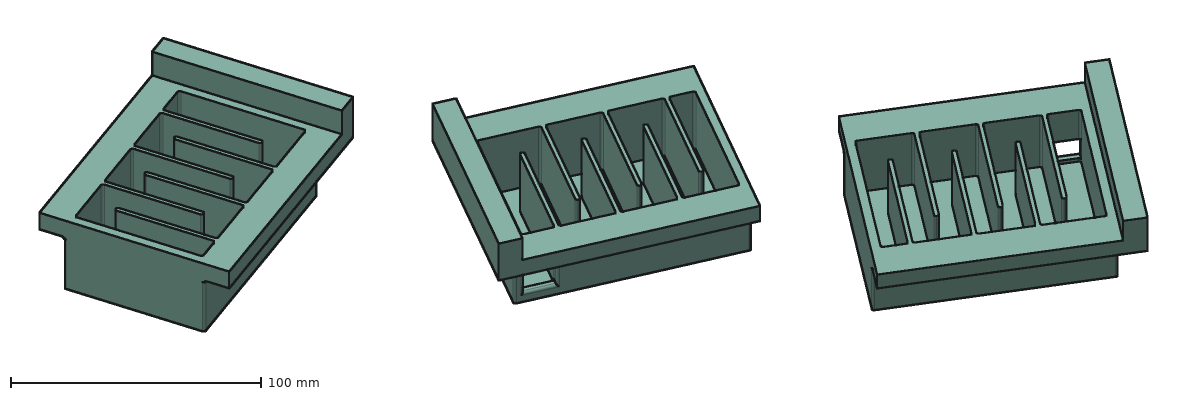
import cadquery as cq

length = 110.0
width = 85.0
height = 46.5

rail_depth = 10.0
rail_rise = 12.0
plate_thickness = 8.5

body_width = 63.0
body_length = length - rail_depth
edge_radius = 1.0
plate_top = height - rail_rise
plate_bottom = plate_top - plate_thickness

floor_thickness = 3.0
side_wall = 3.0
end_wall = 4.1
chamber_width = body_width - 2 * side_wall
chamber_length = body_length - 2 * end_wall
chamber_radius = 1.0

baffle_count = 6
baffle_thickness = 2.0
baffle_pitch = 13.0
baffle_length = 45.0
tip_radius = 0.9
inlet_bay = 14.0

window_length = 13.9
window_height = 11.7
window_sill = 5.1
window_round = 1.2
rim_margin = 0.1

front_y = -length / 2
body_rear_y = front_y + body_length
body_center_y = front_y + body_length / 2
chamber_rear_y = body_rear_y - end_wall


def make_block(size_x, size_y, size_z, center_y, bottom_z):
    """Box centred on X = 0 and resting on bottom_z."""
    block = cq.Workplane("XY").box(size_x, size_y, size_z, centered=(True, True, False))
    return block.translate((0, center_y, bottom_z))


def make_flange():
    """L-shaped plate and rail, extruded across the full width."""
    return (
        cq.Workplane("YZ", origin=(-width / 2, 0, 0))
        .moveTo(front_y, plate_bottom)
        .lineTo(-front_y, plate_bottom)
        .lineTo(-front_y, height)
        .lineTo(body_rear_y, height)
        .lineTo(body_rear_y, plate_top)
        .lineTo(front_y, plate_top)
        .close()
        .extrude(width)
    )


def make_body():
    """Trough block with rounded upright edges."""
    body = make_block(body_width, body_length, plate_top, body_center_y, 0)
    return body.edges("|Z").fillet(edge_radius)


def make_junction():
    """Strip with a concave round on each side, where trough meets plate."""
    half_body = body_width / 2
    half_strip = half_body + edge_radius
    strip_bottom = plate_bottom - edge_radius
    strip = make_block(2 * half_strip, body_length, edge_radius, body_center_y, strip_bottom)
    for side in (-1, 1):
        round_cutter = (
            cq.Workplane("XZ", origin=(0, body_rear_y, 0))
            .center(side * half_strip, strip_bottom)
            .circle(edge_radius)
            .extrude(body_length)
        )
        strip = strip.cut(round_cutter)
    return strip


def make_baffle(index):
    """One baffle, numbered from the rear; even ones join the -X wall."""
    side = -1 if index % 2 == 0 else 1
    tip_direction = ">X" if side < 0 else "<X"
    center_x = side * (chamber_width - baffle_length) / 2
    center_y = chamber_rear_y - inlet_bay - baffle_thickness / 2 - index * baffle_pitch
    baffle = make_block(baffle_length, baffle_thickness, plate_top, center_y, 0)
    baffle = baffle.faces(tip_direction).edges("|Z").fillet(tip_radius)
    return baffle.translate((center_x, 0, 0))


def make_chamber():
    """Serpentine void with rounded corners along its outer walls."""
    chamber = make_block(
        chamber_width, chamber_length, plate_top - floor_thickness, body_center_y, floor_thickness
    )
    for index in range(baffle_count):
        chamber = chamber.cut(make_baffle(index))
    left_corners = chamber.faces("<X").edges("|Z")
    right_corners = chamber.faces(">X").edges("|Z")
    return chamber.newObject(left_corners.vals() + right_corners.vals()).fillet(chamber_radius)


def cut_window(part):
    """Cut the window opening and round its outer rim."""
    outer_x = -body_width / 2
    center_y = chamber_rear_y - inlet_bay / 2
    center_z = window_sill + window_height / 2
    opening = (
        cq.Workplane("YZ", origin=(outer_x, center_y, center_z))
        .rect(window_length, window_height)
        .extrude(side_wall + chamber_radius)
    )
    reach_y = window_length / 2 + rim_margin
    reach_z = window_height / 2 + rim_margin
    rim_area = cq.selectors.BoxSelector(
        (outer_x - rim_margin, center_y - reach_y, center_z - reach_z),
        (outer_x + rim_margin, center_y + reach_y, center_z + reach_z),
    )
    return part.cut(opening).edges(rim_area).fillet(window_round)


result = make_flange().union(make_body()).union(make_junction())
result = cut_window(result.cut(make_chamber()))